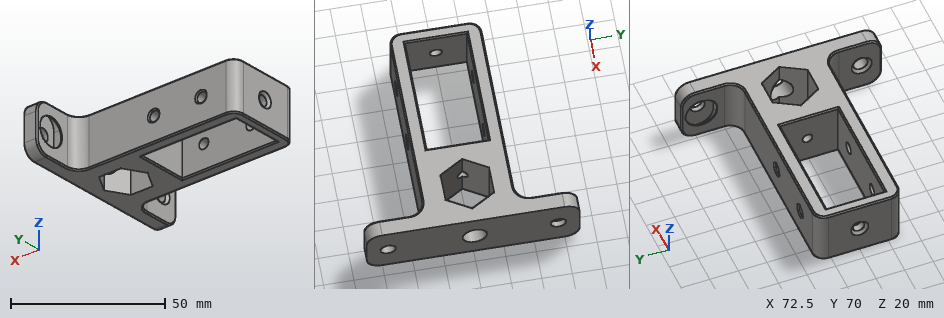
import cadquery as cq

length = 72.5
width = 70.0
height = 20.0
arm_width = 30.0
flange_thickness = 5.5
flange_face_x = length - flange_thickness

tip_radius = 4.0
root_radius = 5.0
flange_corner_radius = 5.0
edge_chamfer = 0.5

pocket_length = 39.9
pocket_width = 20.3
pocket_start_x = 3.7
pocket_end_x = pocket_start_x + pocket_length

hex_across_corners = 18.5
hex_centre_x = 58.5
hex_offset_y = 0.5
inner_bore_diameter = 3.4
rear_bore_diameter = 8.0

screw_diameter = 4.0
first_screw_x = 14.5
screw_spacing = 20.0
side_countersink_diameter = 5.0
tip_countersink_diameter = 6.0

mount_diameter = 5.0
mount_offset_y = 28.0
mount_countersink_diameter = 7.0
recess_width = 11.1
recess_lip = 0.5
recess_depth = 3.5
recess_height = 17.4


def bore_x(diameter, start_x, end_x, y):
    """Cylinder along X between two stations."""
    return (
        cq.Workplane("YZ", origin=(start_x, y, 0))
        .circle(diameter / 2)
        .extrude(end_x - start_x)
    )


def countersink(origin, direction, mouth_diameter, hole_diameter):
    """45 degree cone that narrows along direction from the mouth to the hole."""
    mouth_radius = mouth_diameter / 2
    hole_radius = hole_diameter / 2
    cone = cq.Solid.makeCone(
        mouth_radius,
        hole_radius,
        mouth_radius - hole_radius,
        pnt=cq.Vector(*origin),
        dir=cq.Vector(*direction),
    )
    return cq.Workplane(obj=cone)


def make_body():
    """T-shaped block with rounded corners and chamfered rims."""
    arm = (
        cq.Workplane("XY")
        .box(length, arm_width, height, centered=(False, True, True))
        .edges("|Z and <X")
        .fillet(tip_radius)
    )
    flange = (
        cq.Workplane("XY", origin=(flange_face_x, 0, 0))
        .box(flange_thickness, width, height, centered=(False, True, True))
        .edges("|X")
        .fillet(flange_corner_radius)
    )
    root_edges = cq.selectors.BoxSelector(
        (flange_face_x - 0.7, -arm_width / 2 - 0.7, -height),
        (flange_face_x + 0.7, arm_width / 2 + 0.7, height),
    )
    body = arm.union(flange).edges("|Z").edges(root_edges).fillet(root_radius)
    return body.edges("|Y and <X").chamfer(edge_chamfer)


def cut_pocket(body):
    """Rectangular through pocket with chamfered rims."""
    pocket = (
        cq.Workplane("XY", origin=(pocket_start_x, 0, 0))
        .box(pocket_length, pocket_width, height, centered=(False, True, True))
    )
    body = body.cut(pocket)
    for face in (">Z", "<Z"):
        rim = cq.selectors.BoxSelector(
            (pocket_start_x - 0.7, -pocket_width / 2 - 0.7, -height),
            (pocket_end_x + 0.7, pocket_width / 2 + 0.7, height),
        )
        body = body.faces(face).edges(rim).chamfer(edge_chamfer)
    return body


def cut_hexagon(body):
    """Hexagonal through opening, with a bore to the pocket and one to the rear."""
    hexagon = (
        cq.Workplane("XY", origin=(hex_centre_x, hex_offset_y, -height / 2))
        .polygon(6, hex_across_corners)
        .extrude(height)
    )
    inner_bore = bore_x(inner_bore_diameter, pocket_end_x, hex_centre_x, hex_offset_y)
    rear_bore = bore_x(rear_bore_diameter, hex_centre_x, length, hex_offset_y)
    return body.cut(hexagon).cut(inner_bore).cut(rear_bore)


def cut_arm_screws(body):
    """Countersunk holes across both side walls and through the tip wall."""
    for x in (first_screw_x, first_screw_x + screw_spacing):
        hole = (
            cq.Workplane("XZ", origin=(x, 0, 0))
            .circle(screw_diameter / 2)
            .extrude(arm_width / 2, both=True)
        )
        body = body.cut(hole)
        for side in (-1, 1):
            mouth = (x, side * arm_width / 2, 0)
            sink = countersink(mouth, (0, -side, 0), side_countersink_diameter, screw_diameter)
            body = body.cut(sink)
    tip_sink = countersink((0, 0, 0), (1, 0, 0), tip_countersink_diameter, screw_diameter)
    return body.cut(bore_x(screw_diameter, 0, pocket_start_x, 0)).cut(tip_sink)


def cut_mount_holes(body):
    """One countersunk and one hole with an undercut recess through the flange wings."""
    for y in (-mount_offset_y, mount_offset_y):
        body = body.cut(bore_x(mount_diameter, flange_face_x, length, y))
    sink = countersink(
        (flange_face_x, -mount_offset_y, 0),
        (1, 0, 0),
        mount_countersink_diameter,
        mount_diameter,
    )
    lip_end_x = flange_face_x + recess_lip
    mouth = bore_x(recess_width, flange_face_x, lip_end_x, mount_offset_y)
    slot = (
        cq.Workplane("YZ", origin=(lip_end_x, mount_offset_y, 0))
        .slot2D(recess_height, recess_width, 90)
        .extrude(recess_depth - recess_lip)
    )
    return body.cut(sink).cut(mouth).cut(slot)


result = make_body()
result = cut_pocket(result)
result = cut_hexagon(result)
result = cut_arm_screws(result)
result = cut_mount_holes(result)